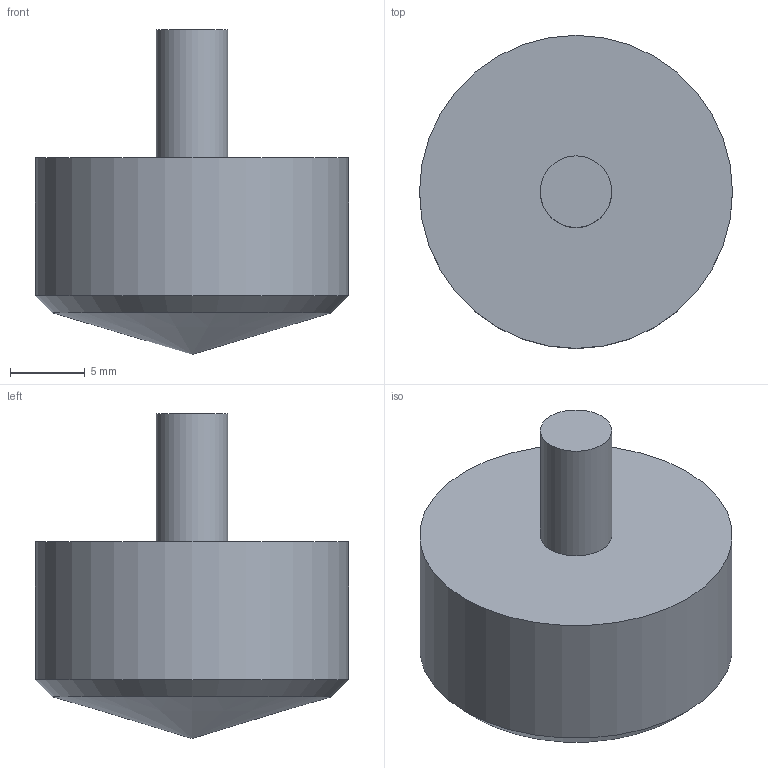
import cadquery as cq

body_diameter = 21.0
pin_diameter = 4.8
total_height = 21.8
pin_length = 8.6
chamfer_size = 1.15
tip_height = 2.8

body_radius = body_diameter / 2
pin_radius = pin_diameter / 2
tip_base_radius = body_radius - chamfer_size

body_bottom = tip_height + chamfer_size
body_top = total_height - pin_length

half_section = (
    cq.Workplane("XZ")
    .moveTo(0, 0)
    .lineTo(tip_base_radius, tip_height)
    .lineTo(body_radius, body_bottom)
    .lineTo(body_radius, body_top)
    .lineTo(pin_radius, body_top)
    .lineTo(pin_radius, total_height)
    .lineTo(0, total_height)
    .close()
)

result = half_section.revolve(360, (0, 0, 0), (0, 1, 0))